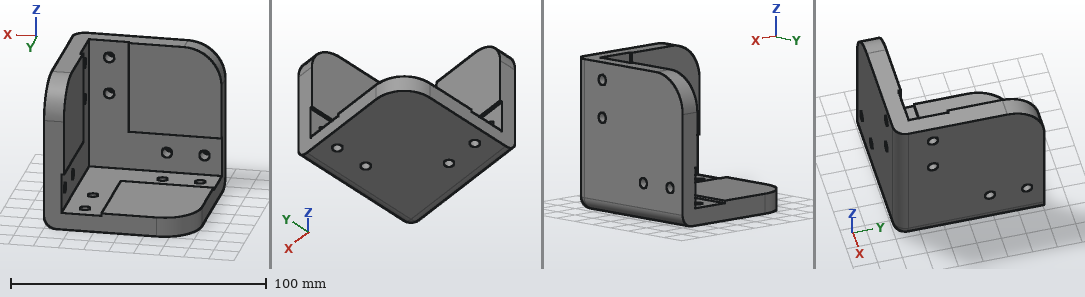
import cadquery as cq


side = 60.0
wall = 8.0
groove_depth = 1.0
bar = 16.0
tip_radius = 15.0
edge_radius = 5.0
hole_diameter = 4.0
end_hole_inset = 7.0
hole_spacing = 15.0

bar_start = wall - groove_depth
bar_center = bar_start + bar / 2
outer_hole = side - end_hole_inset
inner_hole = outer_hole - hole_spacing

shared_corner = (side, 0, 0)


def corner_box(size_x, size_y, size_z, inset=0.0):
    """Box growing along -X, +Y and +Z, inset equally on all axes from the shared corner."""
    block = cq.Workplane("XY").box(size_x, size_y, size_z, centered=False)
    return block.translate((side - inset - size_x, inset, inset))


def plates():
    """Rounded cube hollowed out to leave the three plates."""
    inside = side - wall
    block = corner_box(side, side, side)
    block = block.edges("(|Z and >X and <Y) or (|Y and >X and <Z) or (|X and <Y and <Z)")
    block = block.fillet(edge_radius)
    block = block.cut(corner_box(inside, inside, inside, wall))
    for free_corner in ("|Y and <X and >Z", "|X and >Y and >Z", "|Z and <X and >Y"):
        block = block.edges(free_corner).fillet(tip_radius)
    return block


def bar_seats():
    """Space taken by the three bars, each open at its free end."""
    length = side - bar_start
    seats = corner_box(length, bar, bar, bar_start)
    seats = seats.union(corner_box(bar, length, bar, bar_start))
    return seats.union(corner_box(bar, bar, length, bar_start))


def plate_holes(inward, along_edge):
    """Four holes through one plate, two for each bar lying against it.

    inward is the plate's normal into the bracket; along_edge is a direction
    in the plate leading away from the shared corner.
    """
    points = []
    for station in (outer_hole, inner_hole):
        points.append((station, bar_center))
        points.append((bar_center, station))
    outer_face = cq.Workplane(cq.Plane(origin=shared_corner, xDir=along_edge, normal=inward))
    return outer_face.pushPoints(points).circle(hole_diameter / 2).extrude(wall)


result = plates().cut(bar_seats())
result = result.cut(plate_holes(inward=(0, 1, 0), along_edge=(-1, 0, 0)))
result = result.cut(plate_holes(inward=(-1, 0, 0), along_edge=(0, 0, 1)))
result = result.cut(plate_holes(inward=(0, 0, 1), along_edge=(0, 1, 0)))